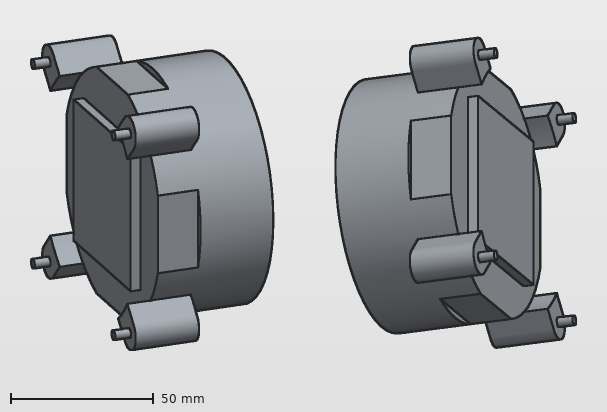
import cadquery as cq
import math

body_diameter = 90.0
body_length = 42.75

flat_start = 27.5
flat_offset = 42.6

plate_side = 53.1
plate_thickness = 3.8

lug_end = 51.6
lug_radius = 6.1
pin_spacing = 75.1
pin_diameter = 3.5
pin_end = 57.5

body_radius = body_diameter / 2
lug_reach = pin_spacing / math.sqrt(2)


def plane_at(depth):
    """Cross-section sketch plane at a distance in front of the back face."""
    return cq.Workplane("XZ", origin=(0, -depth, 0))


def around_axis(shape, angle):
    return shape.rotate((0, 0, 0), (0, 1, 0), angle)


def make_body():
    body = plane_at(0).circle(body_radius).extrude(body_length)
    square_front = plane_at(flat_start).rect(2 * flat_offset, 2 * flat_offset)
    front_limit = square_front.extrude(body_length - flat_start)
    back_limit = plane_at(0).circle(body_radius).extrude(flat_start)
    return body.intersect(front_limit.union(back_limit))


def make_plate():
    return plane_at(body_length).rect(plate_side, plate_side).extrude(plate_thickness)


def make_lug():
    """Lug along +X, with its inner end shaped to the housing cylinder."""
    lug = (
        plane_at(flat_start)
        .moveTo(0, -lug_radius)
        .lineTo(lug_reach, -lug_radius)
        .threePointArc((lug_reach + lug_radius, 0), (lug_reach, lug_radius))
        .lineTo(0, lug_radius)
        .close()
        .extrude(lug_end - flat_start)
    )
    lug = lug.cut(plane_at(0).circle(body_radius).extrude(lug_end))
    pin = plane_at(lug_end).center(lug_reach, 0).circle(pin_diameter / 2)
    return lug.union(pin.extrude(pin_end - lug_end))


result = make_body().union(make_plate())
for lug_angle in (45, 135, 225, 315):
    result = result.union(around_axis(make_lug(), lug_angle))